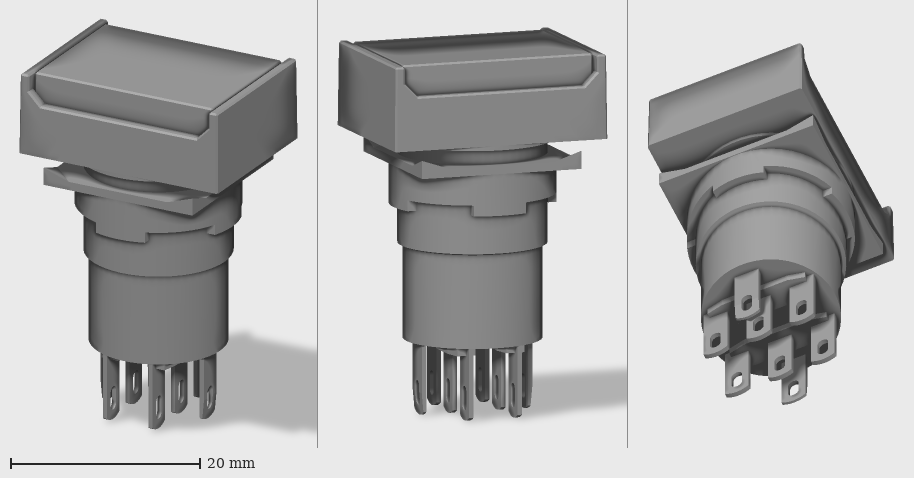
import cadquery as cq
import math

TOP = 39.0
BEZEL_BOTTOM = 29.95
FLANGE_BOTTOM = 29.45
PLATE_TOP = 27.85
PLATE_BOTTOM = 26.9
TAB_TOP = 23.6
TAB_BOTTOM = 22.42
CONE_TOP = 18.2
CONE_BOTTOM = 18.0
BARREL_BOTTOM = 7.95
BLOCK_BOTTOM = 7.02

BEZEL_LENGTH = 23.9
BEZEL_WIDTH = 17.9
DRAFT = 0.7
EDGE_CHAMFER = 0.2
WELL_LENGTH = 21.6
WELL_WIDTH = 15.75
WELL_DEPTH = 4.68
NOTCH_FLOOR = 35.72
NOTCH_FLOOR_LENGTH = 18.72

BUTTON_GAP = 0.08

FLANGE_RADIUS = 8.9
UPPER_RADIUS = 7.95
LOWER_RADIUS = 7.4

PLATE_SIDE = 17.9
CORNER_LEG = 3.05
CORNER_RISE = 1.0
TAB_WIDTH = 5.9

BLOCK_X = 2.75
BLOCK_THICKNESS = 2.85
BLOCK_END_THICKNESS = 2.03
BLOCK_LENGTH = 11.27
BLOCK_STRAIGHT_LENGTH = 7.53

TERMINAL_WIDTH = 2.75
TERMINAL_THICKNESS = 0.5
TERMINAL_PITCH = 5.0
LEFT_COLUMN_X = -2.95
RIGHT_COLUMN_X = 2.5
OUTER_TERMINAL_X = 5.95
TIP_RISE = 0.45
SLOT_WIDTH = 1.2
SLOT_LENGTH = 2.6
SLOT_CENTRE = 2.38
TAPER_TOP = 2.5
TAPERED_THICKNESS = 0.27


def slab(length, width, bottom, top, taper=0):
    """A rectangular slab centred on the Z axis; its sides lean in by the taper angle."""
    return (
        cq.Workplane("XY").workplane(offset=bottom)
        .rect(length, width)
        .extrude(top - bottom, taper=taper)
    )


def disc(radius, bottom, top):
    return cq.Workplane("XY").workplane(offset=bottom).circle(radius).extrude(top - bottom)


def make_bezel():
    bezel = slab(BEZEL_LENGTH, BEZEL_WIDTH, BEZEL_BOTTOM, TOP, DRAFT)
    well = slab(WELL_LENGTH, WELL_WIDTH, TOP - WELL_DEPTH, TOP)
    half_top = WELL_LENGTH / 2
    half_floor = NOTCH_FLOOR_LENGTH / 2
    slope_top = NOTCH_FLOOR + half_top - half_floor
    notch = (
        cq.Workplane("XZ")
        .polyline([
            (-half_top, TOP), (-half_top, slope_top), (-half_floor, NOTCH_FLOOR),
            (half_floor, NOTCH_FLOOR), (half_top, slope_top), (half_top, TOP),
        ])
        .close()
        .extrude(BEZEL_WIDTH, both=True)
    )
    bezel = bezel.cut(well).cut(notch)
    return bezel.newObject(bezel_chamfer_edges(bezel)).chamfer(EDGE_CHAMFER)


def bezel_chamfer_edges(bezel):
    """Edges on the four outer walls above the bottom, and the inner top edges of the end walls."""
    limit_x = (BEZEL_LENGTH + WELL_LENGTH) / 4 + EDGE_CHAMFER
    limit_y = (BEZEL_WIDTH + WELL_WIDTH) / 4 + EDGE_CHAMFER
    edges = []
    for edge in bezel.edges().vals():
        centre = edge.Center()
        on_outer_wall = abs(centre.x) > limit_x or abs(centre.y) > limit_y
        above_bottom = centre.z > BEZEL_BOTTOM + EDGE_CHAMFER
        on_end_wall_top = centre.z > TOP - EDGE_CHAMFER and abs(centre.y) < EDGE_CHAMFER
        if (on_outer_wall and above_bottom) or on_end_wall_top:
            edges.append(edge)
    return edges


def make_button():
    length = WELL_LENGTH - 2 * BUTTON_GAP
    width = WELL_WIDTH - 2 * BUTTON_GAP
    button = slab(length, width, TOP - WELL_DEPTH, TOP, DRAFT)
    return button.edges("not <Z").chamfer(EDGE_CHAMFER)


def make_barrel():
    """A stepped round body; a shallow cone joins its upper and lower parts."""
    return (
        cq.Workplane("XZ")
        .polyline([
            (0, BEZEL_BOTTOM), (FLANGE_RADIUS, BEZEL_BOTTOM), (FLANGE_RADIUS, FLANGE_BOTTOM),
            (UPPER_RADIUS, FLANGE_BOTTOM), (UPPER_RADIUS, CONE_TOP),
            (LOWER_RADIUS, CONE_BOTTOM), (LOWER_RADIUS, BARREL_BOTTOM), (0, BARREL_BOTTOM),
        ])
        .close()
        .revolve(360, (0, 0), (0, 1))
    )


def make_block(x):
    half = BLOCK_THICKNESS / 2
    half_end = BLOCK_END_THICKNESS / 2
    straight = BLOCK_STRAIGHT_LENGTH / 2
    end = BLOCK_LENGTH / 2
    return (
        cq.Workplane("XY").workplane(offset=BLOCK_BOTTOM).center(x, 0)
        .polyline([
            (half, -straight), (half, straight), (half_end, end), (-half_end, end),
            (-half, straight), (-half, -straight), (-half_end, -end), (half_end, -end),
        ])
        .close()
        .extrude(BARREL_BOTTOM - BLOCK_BOTTOM)
    )


def make_terminal(x, y):
    half = TERMINAL_WIDTH / 2
    blade = (
        cq.Workplane("YZ")
        .moveTo(-half, BARREL_BOTTOM)
        .lineTo(-half, TIP_RISE)
        .threePointArc((0, 0), (half, TIP_RISE))
        .lineTo(half, BARREL_BOTTOM)
        .close()
        .extrude(TERMINAL_THICKNESS / 2, both=True)
    )
    slot = (
        cq.Workplane("YZ").center(0, SLOT_CENTRE)
        .slot2D(SLOT_LENGTH, SLOT_WIDTH, 90)
        .extrude(TERMINAL_THICKNESS, both=True)
    )
    return blade.cut(slot).translate((x, y, 0))


def make_outer_terminal(side):
    """A terminal whose outward face slopes in towards the tip; side is -1 or 1."""
    outer_face = side * (OUTER_TERMINAL_X + TERMINAL_THICKNESS / 2)
    tip_face = outer_face - side * (TERMINAL_THICKNESS - TAPERED_THICKNESS)
    taper = (
        cq.Workplane("XZ")
        .polyline([(outer_face, TAPER_TOP), (outer_face, 0), (tip_face, 0)])
        .close()
        .extrude(TERMINAL_WIDTH, both=True)
    )
    return make_terminal(side * OUTER_TERMINAL_X, 0).cut(taper)


def make_housing():
    housing = make_bezel().union(make_barrel())
    for side in (-1, 1):
        housing = housing.union(make_block(side * BLOCK_X))
    for x in (LEFT_COLUMN_X, RIGHT_COLUMN_X):
        for row in (-1, 0, 1):
            housing = housing.union(make_terminal(x, row * TERMINAL_PITCH))
    for side in (-1, 1):
        housing = housing.union(make_outer_terminal(side))
    return housing


def make_raised_corners():
    """Four corner wedges of the plate, each rising outward from a diagonal crease."""
    depth = CORNER_LEG / math.sqrt(2)
    tip = PLATE_SIDE / math.sqrt(2)
    wedge = (
        cq.Workplane("XZ")
        .polyline([
            (tip - depth, PLATE_TOP), (tip, PLATE_TOP), (tip, PLATE_TOP + CORNER_RISE),
        ])
        .close()
        .extrude(depth, both=True)
    )
    wedges = cq.Workplane("XY")
    for corner in range(4):
        wedges = wedges.add(wedge.rotate((0, 0, 0), (0, 0, 1), 45 + 90 * corner))
    square = slab(PLATE_SIDE, PLATE_SIDE, 0, TOP)
    return wedges.combine().intersect(square)


def make_nut():
    plate = slab(PLATE_SIDE, PLATE_SIDE, PLATE_BOTTOM, PLATE_TOP)
    collar = disc(FLANGE_RADIUS, TAB_TOP, PLATE_BOTTOM)
    tab_bars = slab(PLATE_SIDE, TAB_WIDTH, TAB_BOTTOM, TAB_TOP).union(
        slab(TAB_WIDTH, PLATE_SIDE, TAB_BOTTOM, TAB_TOP)
    )
    tabs = tab_bars.intersect(disc(FLANGE_RADIUS, TAB_BOTTOM, TAB_TOP))
    bore = disc(UPPER_RADIUS, 0, TOP)
    return plate.union(make_raised_corners()).union(collar).union(tabs).cut(bore)


housing = make_housing()
button = make_button()
nut = make_nut()

result = cq.Compound.makeCompound([housing.val(), button.val(), nut.val()])